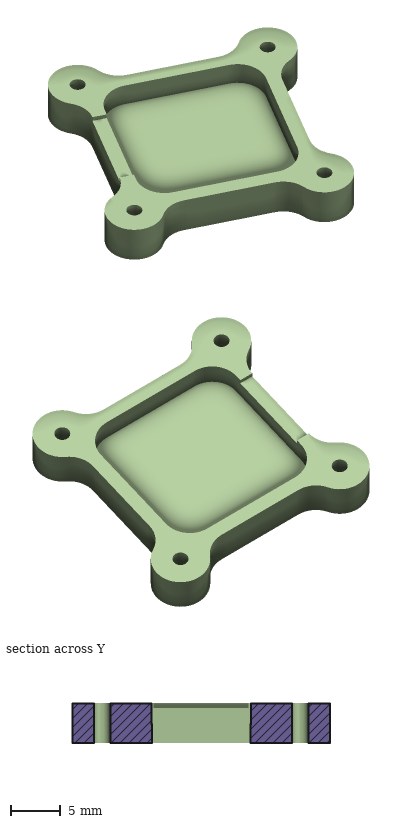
import cadquery as cq
import math

overall = 26.0
height = 4.0
lug_diameter = 6.0
hole_diameter = 1.6
wall = 1.5
pocket_corner_radius = 3.0
floor_thickness = 1.5
trim_width = 10.0
notch_depth = 0.5

lug_radius = lug_diameter / 2
body_side = overall - lug_diameter
half_side = body_side / 2
pocket_side = body_side - 2 * wall

blend_radius = lug_radius
blend_reach = math.sqrt((lug_radius + blend_radius) ** 2 - blend_radius**2)
lug_centers = [(x, y) for x in (-half_side, half_side) for y in (-half_side, half_side)]


def corner_blends():
    """Concave webs joining the front side of the body to its two lugs."""
    webs = cq.Workplane("XY")
    for side in (-1, 1):
        lug_x = side * half_side
        blend_x = lug_x - side * blend_reach
        blend_y = -half_side - blend_radius
        lug_touch = ((lug_x + blend_x) / 2, (-half_side + blend_y) / 2)
        side_touch = (blend_x, -half_side)
        angle = math.atan2(lug_touch[1] - blend_y, lug_touch[0] - blend_x)
        middle = (angle + math.pi / 2) / 2
        arc_middle = (
            blend_x + blend_radius * math.cos(middle),
            blend_y + blend_radius * math.sin(middle),
        )
        web = (
            cq.Workplane("XY")
            .moveTo(lug_x, -half_side)
            .lineTo(*lug_touch)
            .threePointArc(arc_middle, side_touch)
            .close()
            .extrude(height)
        )
        webs = webs.add(web)
    return webs.combine()


def frame_blank():
    blank = cq.Workplane("XY").rect(body_side, body_side).extrude(height)
    blank = blank.union(cq.Workplane("XY").pushPoints(lug_centers).circle(lug_radius).extrude(height))
    webs = corner_blends()
    for quarter in range(4):
        blank = blank.union(webs.rotate((0, 0, 0), (0, 0, 1), 90 * quarter))
    return blank.clean()


def pocket():
    return (
        cq.Workplane("XY", origin=(0, 0, floor_thickness))
        .rect(pocket_side, pocket_side)
        .extrude(height - floor_thickness)
        .edges("|Z")
        .fillet(pocket_corner_radius)
    )


def front_notch():
    """Shallow step in the top of the front wall, from outside into the pocket.

    Through the wall it is as wide as the straight part of the front side. Just outside that
    side it is wider, which trims the tips of the two blends flat.
    """
    wall_width = body_side - 2 * blend_reach
    through_length = half_side
    plane = cq.Workplane("XY", origin=(0, -half_side, height - notch_depth))
    wall_cut = plane.box(wall_width, through_length, notch_depth, centered=(True, False, False))
    tip_trim = (
        plane.center(0, -lug_radius / 2)
        .rect(trim_width, lug_radius)
        .extrude(notch_depth)
    )
    return wall_cut.union(tip_trim)


def screw_holes():
    return cq.Workplane("XY").pushPoints(lug_centers).circle(hole_diameter / 2).extrude(height)


result = frame_blank().cut(pocket()).cut(front_notch()).cut(screw_holes())